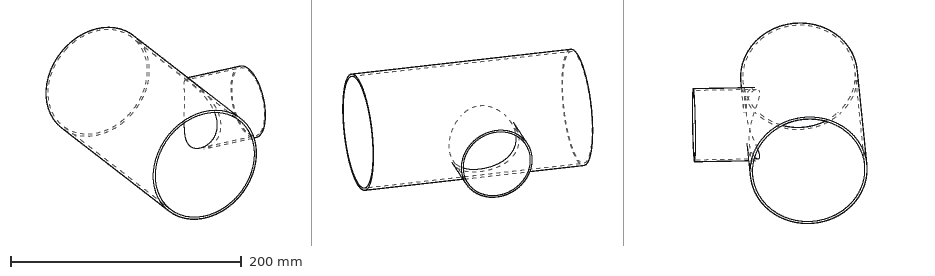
import cadquery as cq

run_length = 196.8
run_outer_diameter = 101.5
run_inner_diameter = 97.5

branch_reach = 95.3
branch_outer_diameter = 63.5
branch_inner_diameter = 60.2

weld_radius = 1.5


def run_cylinder(diameter):
    """Cylinder along X, centred on the origin."""
    return cq.Workplane("YZ").circle(diameter / 2).extrude(run_length / 2, both=True)


def branch_cylinder(diameter):
    """Cylinder along +Y from the main pipe axis to the branch end."""
    return cq.Workplane("XZ").circle(diameter / 2).extrude(-branch_reach)


body = run_cylinder(run_outer_diameter).union(branch_cylinder(branch_outer_diameter))
junction_box = cq.selectors.BoxSelector(
    (-branch_outer_diameter, 0, -branch_outer_diameter),
    (branch_outer_diameter, run_outer_diameter / 2, branch_outer_diameter),
)
body = body.edges(junction_box).edges("not %LINE").fillet(weld_radius)

result = body.cut(run_cylinder(run_inner_diameter)).cut(branch_cylinder(branch_inner_diameter))